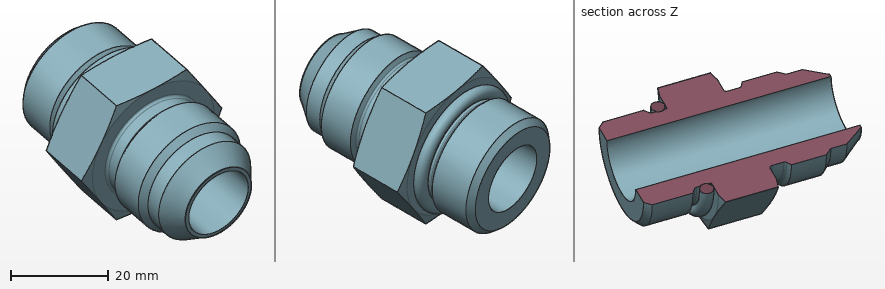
import cadquery as cq
import math

LENGTH = 50.05
BORE_RADIUS = 7.75
THREAD_RADIUS = 13.35
NECK_RADIUS = 12.0
TIP_CHAMFER_LENGTH = 1.4

STUD_THREAD_END = 10.45
STUD_RELIEF_ANGLE = math.radians(51)
STUD_RELIEF_FILLET = 0.65

HEX_START = 15.1
HEX_END = 28.05
HEX_FLATS = 31.75
HEX_CHAMFER_ANGLE = math.radians(13)

HEX_ROOT_FILLET = 0.6
FLARE_THREAD_START = 32.45
FLARE_RELIEF_ANGLE = math.radians(60)
FLARE_RELIEF_FILLET = 0.6
FLARE_THREAD_END = 40.25
NOSE_START = 41.8
NOSE_CONE_START = 45.4
NOSE_CONE_ANGLE = math.radians(37)
NOSE_RIM_LENGTH = 0.15

RING_SECTION_RADIUS = 1.5
RING_OUTER_RADIUS = 14.7
RING_CENTER_RADIUS = RING_OUTER_RADIUS - RING_SECTION_RADIUS
RING_X = HEX_START - RING_SECTION_RADIUS


def relief_points(thread_end, direction, angle, fillet):
    """Shoulder from thread to neck: thread edge, fillet start, fillet middle, fillet end."""
    fillet_rise = fillet * (1 - math.cos(angle))
    cone_length = (THREAD_RADIUS - NECK_RADIUS - fillet_rise) / math.tan(angle)
    fillet_end = cone_length + fillet * math.sin(angle)

    def on_fillet(turn):
        x = thread_end + direction * (fillet_end - fillet * math.sin(turn))
        return (x, NECK_RADIUS + fillet * (1 - math.cos(turn)))

    return (thread_end, THREAD_RADIUS), on_fillet(angle), on_fillet(angle / 2), on_fillet(0)


def make_turned_body():
    stud_edge, stud_start, stud_mid, stud_end = relief_points(
        STUD_THREAD_END, 1, STUD_RELIEF_ANGLE, STUD_RELIEF_FILLET)
    flare_edge, flare_start, flare_mid, flare_end = relief_points(
        FLARE_THREAD_START, -1, FLARE_RELIEF_ANGLE, FLARE_RELIEF_FILLET)
    root_offset = HEX_ROOT_FILLET * (1 - math.sqrt(0.5))
    cone_end = LENGTH - NOSE_RIM_LENGTH
    rim_radius = NECK_RADIUS - (cone_end - NOSE_CONE_START) * math.tan(NOSE_CONE_ANGLE)
    profile = (
        cq.Workplane("XY")
        .moveTo(0, 0)
        .lineTo(0, NECK_RADIUS)
        .lineTo(TIP_CHAMFER_LENGTH, THREAD_RADIUS)
        .lineTo(*stud_edge)
        .lineTo(*stud_start)
        .threePointArc(stud_mid, stud_end)
        .lineTo(HEX_END, NECK_RADIUS)
        .lineTo(HEX_END, NECK_RADIUS + HEX_ROOT_FILLET)
        .threePointArc((HEX_END + root_offset, NECK_RADIUS + root_offset),
                       (HEX_END + HEX_ROOT_FILLET, NECK_RADIUS))
        .lineTo(*flare_end)
        .threePointArc(flare_mid, flare_start)
        .lineTo(*flare_edge)
        .lineTo(FLARE_THREAD_END, THREAD_RADIUS)
        .lineTo(NOSE_START, NECK_RADIUS)
        .lineTo(NOSE_CONE_START, NECK_RADIUS)
        .lineTo(cone_end, rim_radius)
        .lineTo(LENGTH, rim_radius)
        .lineTo(LENGTH, 0)
        .close()
    )
    return profile.revolve(360, (0, 0, 0), (1, 0, 0))


def make_hexagon():
    """Hexagon with corners on the Y axis, both ends chamfered by a turned envelope."""
    corner_radius = HEX_FLATS / math.sqrt(3)
    chamfer_radius = HEX_FLATS / 2
    chamfer_length = (corner_radius - chamfer_radius) * math.tan(HEX_CHAMFER_ANGLE)
    prism = (
        cq.Workplane("YZ", origin=(HEX_START, 0, 0))
        .polygon(6, 2 * corner_radius)
        .extrude(HEX_END - HEX_START)
    )
    envelope = (
        cq.Workplane("XY")
        .moveTo(HEX_START, 0)
        .lineTo(HEX_START, chamfer_radius)
        .lineTo(HEX_START + chamfer_length, corner_radius)
        .lineTo(HEX_END - chamfer_length, corner_radius)
        .lineTo(HEX_END, chamfer_radius)
        .lineTo(HEX_END, 0)
        .close()
        .revolve(360, (0, 0, 0), (1, 0, 0))
    )
    return prism.intersect(envelope)


def make_o_ring():
    return (
        cq.Workplane("XY")
        .center(RING_X, RING_CENTER_RADIUS)
        .circle(RING_SECTION_RADIUS)
        .revolve(360, (0, -RING_CENTER_RADIUS, 0), (1, -RING_CENTER_RADIUS, 0))
    )


def make_fitting(o_ring):
    bore = cq.Workplane("YZ").circle(BORE_RADIUS).extrude(LENGTH)
    blank = make_turned_body().union(make_hexagon())
    return blank.cut(bore).cut(o_ring)


o_ring = make_o_ring()
fitting = make_fitting(o_ring)
result = cq.Compound.makeCompound([fitting.solids().val(), o_ring.val()])